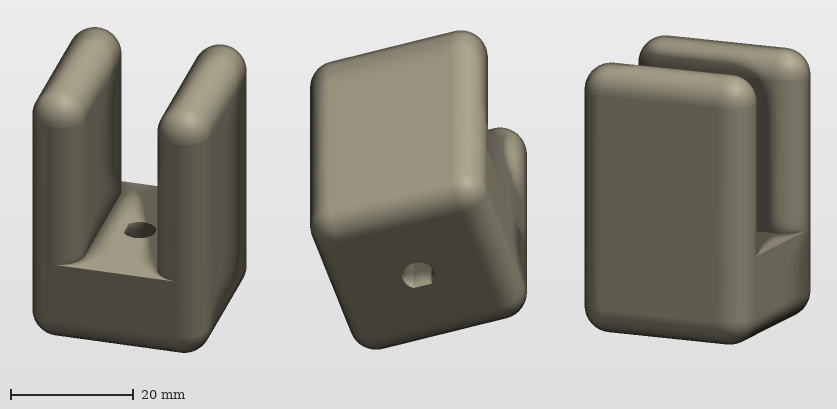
import cadquery as cq
import math

height = 45.0
width = height * 2 / 3
base_height = height / 3

wall_thickness = 8.78
edge_radius = wall_thickness / 2
wall_height = height - base_height
wall_offset = (width - wall_thickness) / 2

hole_radius = 2.7
flat_distance = 2.25


def make_d_cutter():
    """D-shaped prism with its flat on the -X side."""
    half_flat = math.sqrt(hole_radius**2 - flat_distance**2)
    return (
        cq.Workplane("XY")
        .moveTo(-flat_distance, -half_flat)
        .threePointArc((hole_radius, 0), (-flat_distance, half_flat))
        .close()
        .extrude(base_height)
    )


def make_base():
    """Square block with rounded upright and bottom edges, pierced by the D hole."""
    block = (
        cq.Workplane("XY")
        .box(width, width, base_height, centered=(True, True, False))
        .edges("|Z")
        .fillet(edge_radius)
        .faces("<Z")
        .edges()
        .fillet(edge_radius)
    )
    return block.cut(make_d_cutter())


def make_wall(x_center):
    """Upright wall with full-round ends and a full-round top ending in quarter spheres."""
    axis_length = width - wall_thickness
    axis_height = wall_height - edge_radius
    slab = (
        cq.Workplane("XY")
        .slot2D(width, wall_thickness, angle=90)
        .extrude(axis_height)
    )
    top_bar = (
        cq.Workplane("XZ", origin=(0, axis_length / 2, axis_height))
        .circle(edge_radius)
        .extrude(axis_length)
    )
    wall = slab.union(top_bar)
    for y_end in (-axis_length / 2, axis_length / 2):
        dome = cq.Workplane("XY", origin=(0, y_end, axis_height)).sphere(edge_radius)
        wall = wall.union(dome)
    return wall.translate((x_center, 0, base_height))


base = make_base()
walls = [make_wall(side * wall_offset) for side in (-1, 1)]

result = cq.Compound.makeCompound([base.val(), *[wall.val() for wall in walls]])